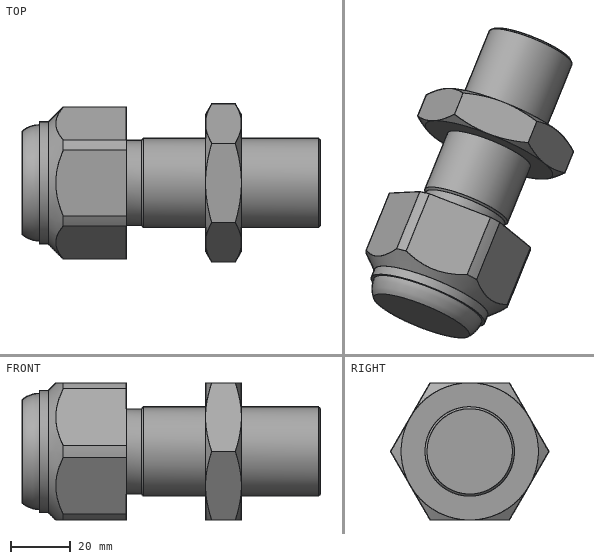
import cadquery as cq
import math

total_length = 100.0
across_flats = 46.0
flat_radius = across_flats / 2
across_corners = across_flats / math.cos(math.radians(30))
corner_radius = across_corners / 2

dome_length = 5.8
dome_tip_radius = 17.3
dome_base_radius = 19.5
collar_end = 8.8
collar_radius = 20.5
cap_end = 35.0
cap_corner_radius = 25.5
cap_cone_length = cap_corner_radius - collar_radius

thread_radius = 15.0
neck_radius = 14.3
neck_length = 5.0
thread_chamfer = thread_radius - neck_radius

nut_start = 61.5
nut_thickness = 12.0
nut_chamfer_angle = 30.0
nut_chamfer_length = (corner_radius - flat_radius) * math.tan(math.radians(nut_chamfer_angle))


def hexagonal_bar(start, length):
    """Hexagonal bar along X with flats facing +Z and -Z."""
    return cq.Workplane("YZ").workplane(offset=start).polygon(6, across_corners).extrude(length)


def turned(profile):
    """Revolve a closed profile, drawn as (x, radius), about the X axis."""
    return profile.close().revolve(360, (0, 0, 0), (1, 0, 0))


def make_cap_nut():
    """Hexagonal cap with rounded corners, a conical shoulder, a collar and a domed tip."""
    dome_drop = dome_base_radius - dome_tip_radius
    dome_arc_radius = (dome_length**2 + dome_drop**2) / (2 * dome_drop)
    half_angle = math.asin(dome_length / dome_arc_radius) / 2
    dome_middle = (
        dome_length - dome_arc_radius * math.sin(half_angle),
        dome_base_radius - dome_arc_radius * (1 - math.cos(half_angle)),
    )
    tip = turned(
        cq.Workplane("XY")
        .lineTo(0, dome_tip_radius)
        .threePointArc(dome_middle, (dome_length, dome_base_radius))
        .lineTo(dome_length, collar_radius)
        .lineTo(collar_end, collar_radius)
        .lineTo(collar_end, 0)
    )
    hexagon_envelope = turned(
        cq.Workplane("XY")
        .moveTo(collar_end, 0)
        .lineTo(collar_end, collar_radius)
        .lineTo(collar_end + cap_cone_length, cap_corner_radius)
        .lineTo(cap_end, cap_corner_radius)
        .lineTo(cap_end, 0)
    )
    hexagon = hexagonal_bar(collar_end, cap_end - collar_end).intersect(hexagon_envelope)
    return tip.union(hexagon)


def make_threaded_body():
    """Round stem with a narrower neck against the cap nut and chamfered thread ends."""
    neck_end = cap_end + neck_length
    return turned(
        cq.Workplane("XY")
        .moveTo(cap_end, 0)
        .lineTo(cap_end, neck_radius)
        .lineTo(neck_end, neck_radius)
        .lineTo(neck_end + thread_chamfer, thread_radius)
        .lineTo(total_length - thread_chamfer, thread_radius)
        .lineTo(total_length, neck_radius)
        .lineTo(total_length, 0)
    )


def make_lock_nut():
    """Hexagonal nut with both faces chamfered, bored to fit the stem."""
    nut_end = nut_start + nut_thickness
    envelope = turned(
        cq.Workplane("XY")
        .moveTo(nut_start, thread_radius)
        .lineTo(nut_start, flat_radius)
        .lineTo(nut_start + nut_chamfer_length, corner_radius)
        .lineTo(nut_end - nut_chamfer_length, corner_radius)
        .lineTo(nut_end, flat_radius)
        .lineTo(nut_end, thread_radius)
    )
    return hexagonal_bar(nut_start, nut_thickness).intersect(envelope)


cap_nut = make_cap_nut()
threaded_body = make_threaded_body()
lock_nut = make_lock_nut()

result = cq.Compound.makeCompound(
    [solid for body in (cap_nut, threaded_body, lock_nut) for solid in body.solids().vals()]
)